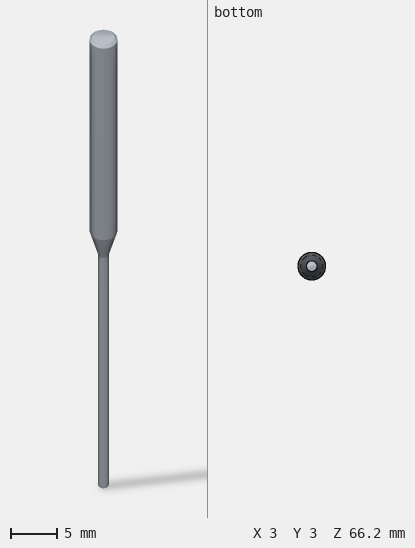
import cadquery as cq
import math


shank_diameter = 3.0
drill_diameter = 1.15
length_above_point = 66.0
cutting_length = 29.6
taper_end_height = 34.0
taper_half_angle = 15.0
point_angle = 140.0
shank_chamfer = 0.3

shank_radius = shank_diameter / 2
drill_radius = drill_diameter / 2
point_length = drill_radius / math.tan(math.radians(point_angle / 2))
taper_length = (shank_radius - drill_radius) / math.tan(math.radians(taper_half_angle))
taper_start_height = taper_end_height + taper_length


def revolve_profile(points):
    """Turn a closed (radius, height) outline about the Z axis, with the seam on the -Y side."""
    outline = [(-radius, height) for radius, height in points]
    return cq.Workplane("YZ").polyline(outline).close().revolve(360, (0, 0), (0, 1))


def make_shank():
    """Shank with a chamfered top edge, a taper and a slim neck down to the joint."""
    return revolve_profile([
        (0, cutting_length),
        (drill_radius, cutting_length),
        (drill_radius, taper_end_height),
        (shank_radius, taper_start_height),
        (shank_radius, length_above_point - shank_chamfer),
        (shank_radius - shank_chamfer, length_above_point),
        (0, length_above_point),
    ])


def make_cutting_part():
    """Plain cylinder with a conical point, butting against the end of the neck."""
    return revolve_profile([
        (0, -point_length),
        (drill_radius, 0),
        (drill_radius, cutting_length),
        (0, cutting_length),
    ])


shank = make_shank()
cutting_part = make_cutting_part()

result = cq.Compound.makeCompound([shank.val(), cutting_part.val()])